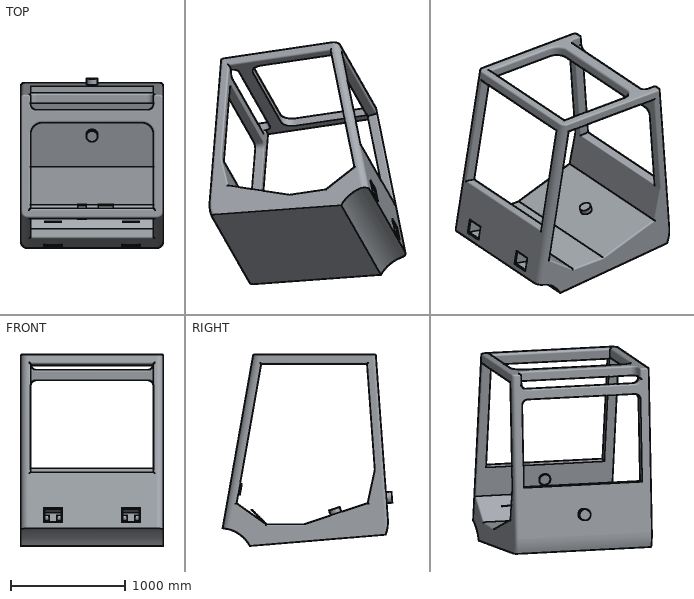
import cadquery as cq
import math


WIDTH = 1250.0
HEIGHT = 1681.14
LENGTH = 1490.56
WALL = 85.0
SIDE_WALL = 87.0
FRONT_LEAN = 10.0
REAR_LEAN = 4.2
ROOF_LENGTH = 1076.0

FRONT_EDGE_Z = 156.0
FRONT_FOOT_DEPTH = 62.0
ARCH_RADIUS = 300.0
ARCH_END_Y = 240.0
HULL_REAR_Y = 1431.0
HULL_REAR_Z = 99.0
REAR_KNEE_Z = 235.0

FLOOR_Z = 192.0
FLOOR_FRONT_Y = 383.0
FLOOR_REAR_Y = 714.0
RAMP_TOP_Z = 375.0
SEAT_BACK_Y = 1272.0
SEAT_BACK_Z = 378.0
REAR_SILL_BEND_Z = 668.0

FRONT_POST_RADIUS = 60.0
REAR_POST_RADIUS = 30.0
EDGE_RADIUS = 15.0
ROOF_HATCH_EDGE_RADIUS = 20.0
HATCH_CORNER_RADIUS = 100.0
REAR_WINDOW_EDGE_RADIUS = 7.0
REAR_CORNER_RADIUS = 50.0

FRONT_WINDOW_BOTTOM = 503.0
FRONT_WINDOW_TOP = 1464.0
REAR_WINDOW_BOTTOM_Z = 677.0
HEADER_BOTTOM_Z = 1452.0
HEADER_TOP_Z = 1548.0
HATCH_REAR_Y = 1100.0
ROOF_NOTCH_Y = 1214.0

POCKET_X = 341.5
POCKET_WIDTH = 143.0
POCKET_BOTTOM = 60.0
POCKET_TOP = 173.0
POCKET_DEPTH = 200.0
POCKET_BEVEL = 8.0
BEVEL_ANGLE = 45.0
CASING_WALL = 8.5
LUG_DIAMETER = 50.0
LUG_GAP = 67.0
LUG_INSET = 20.0
LUG_HEIGHT = 124.0

BOSS_DIAMETER = 100.0
BOSS_ROOT = 40.0
REAR_BOSS_Z = 425.0
FLOOR_BOSS_Y = 995.0
FLOOR_BOSS_HEIGHT = 45.0
FRONT_BOSS_Z = 500.0
FRONT_BOSS_HEIGHT = 15.0
PEDAL_THICKNESS = 4.0
PEDAL_RISE = 45.0
PEDALS = ((-124.0, -52.0, 180.0), (53.0, 188.0, 90.0))

HALF_WIDTH = WIDTH / 2
OPENING_HALF = HALF_WIDTH - SIDE_WALL
OVERCUT = 50.0
TOLERANCE = 0.5
FRONT_SIN = math.sin(math.radians(FRONT_LEAN))
FRONT_COS = math.cos(math.radians(FRONT_LEAN))
REAR_SIN = math.sin(math.radians(REAR_LEAN))
REAR_COS = math.cos(math.radians(REAR_LEAN))
ROOF_UNDERSIDE_Z = HEIGHT - WALL
ROOF_FRONT_Y = (HEIGHT - FRONT_EDGE_Z) * FRONT_SIN / FRONT_COS
ROOF_REAR_Y = ROOF_FRONT_Y + ROOF_LENGTH


def front_y(z, inset=0.0):
    """Y of the front face at height z, or of a plane set inside it."""
    return (z - FRONT_EDGE_Z) * FRONT_SIN / FRONT_COS + inset / FRONT_COS


def rear_y(z, inset=0.0):
    """Y of the rear face at height z, or of a plane set inside it."""
    return ROOF_REAR_Y + (HEIGHT - z) * REAR_SIN / REAR_COS - inset / REAR_COS


FRONT_PLANE = cq.Plane((0, 0, FRONT_EDGE_Z), (1, 0, 0), (0, -FRONT_COS, FRONT_SIN))


def rear_plane(z, inset=0.0):
    """Plane on the rear face with its local Y up and its normal outward."""
    return cq.Plane((0, rear_y(z, inset), z), (-1, 0, 0), (0, REAR_COS, REAR_SIN))


def across(x_left, x_right, profile):
    """Solid with a closed (Y, Z) profile running from x_left to x_right."""
    plane = cq.Plane((x_left, 0, 0), (0, 1, 0), (1, 0, 0))
    return cq.Workplane(plane).polyline(profile).close().extrude(x_right - x_left)


def nearest_edges(body, points):
    """The edges whose centers are nearest to the given points."""
    return [body.edges(cq.selectors.NearestToPointSelector(point)).val() for point in points]


def fillet(body, radius, edges):
    return cq.Workplane(body.val().fillet(radius, edges))


def round_rim(body, point, radius):
    """Round the rim of the single opening in the flat face that holds a point."""
    vertex = cq.Vertex.makeVertex(*point)
    face = min(body.faces().vals(), key=lambda candidate: candidate.distance(vertex))
    return fillet(body, radius, face.innerWires()[0].Edges())


def make_hull():
    foot_y = FRONT_FOOT_DEPTH * FRONT_COS
    foot_z = FRONT_EDGE_Z - FRONT_FOOT_DEPTH * FRONT_SIN
    body = (
        cq.Workplane(cq.Plane((-HALF_WIDTH, 0, 0), (0, 1, 0), (1, 0, 0)))
        .moveTo(0, FRONT_EDGE_Z)
        .lineTo(ROOF_FRONT_Y, HEIGHT)
        .lineTo(ROOF_REAR_Y, HEIGHT)
        .lineTo(rear_y(REAR_KNEE_Z), REAR_KNEE_Z)
        .tangentArcPoint((HULL_REAR_Y, HULL_REAR_Z), relative=False)
        .lineTo(ARCH_END_Y, 0)
        .radiusArc((foot_y, foot_z), -ARCH_RADIUS)
        .close()
        .extrude(WIDTH)
    )
    front_z = (HEIGHT + FRONT_EDGE_Z) / 2
    rear_z = (HEIGHT + REAR_KNEE_Z) / 2
    front_edges = [(x, front_y(front_z), front_z) for x in (-HALF_WIDTH, HALF_WIDTH)]
    rear_edges = [(x, rear_y(rear_z), rear_z) for x in (-HALF_WIDTH, HALF_WIDTH)]
    body = fillet(body, FRONT_POST_RADIUS, nearest_edges(body, front_edges))
    body = fillet(body, REAR_POST_RADIUS, nearest_edges(body, rear_edges))
    return body.faces(">Z").edges().fillet(EDGE_RADIUS)


def cut_cavity(body):
    """Open the cab from side to side and round the rim of each door opening."""
    body = body.cut(across(-HALF_WIDTH, HALF_WIDTH, [
        (front_y(RAMP_TOP_Z, WALL), RAMP_TOP_Z),
        (FLOOR_FRONT_Y, FLOOR_Z),
        (FLOOR_REAR_Y, FLOOR_Z),
        (SEAT_BACK_Y, SEAT_BACK_Z),
        (rear_y(REAR_SILL_BEND_Z, WALL), REAR_SILL_BEND_Z),
        (rear_y(ROOF_UNDERSIDE_Z, WALL), ROOF_UNDERSIDE_Z),
        (front_y(ROOF_UNDERSIDE_Z, WALL), ROOF_UNDERSIDE_Z),
    ]))
    for x in (-HALF_WIDTH, HALF_WIDTH):
        body = round_rim(body, (x, FLOOR_REAR_Y, FLOOR_Z / 2), EDGE_RADIUS)
    return body


def cut_front_window(body):
    window = (
        cq.Workplane(FRONT_PLANE)
        .center(0, (FRONT_WINDOW_BOTTOM + FRONT_WINDOW_TOP) / 2)
        .rect(2 * OPENING_HALF, FRONT_WINDOW_TOP - FRONT_WINDOW_BOTTOM)
        .extrude(-WALL - OVERCUT)
    )
    panel_z = (FRONT_EDGE_Z + RAMP_TOP_Z) / 2
    return round_rim(body.cut(window), (0, front_y(panel_z), panel_z), EDGE_RADIUS)


def cut_rear_window(body):
    """Cut the rear window, rounded at its inner rim, with two round upper corners."""
    height = (HEADER_BOTTOM_Z - REAR_WINDOW_BOTTOM_Z) / REAR_COS
    window = (
        cq.Workplane(rear_plane(REAR_WINDOW_BOTTOM_Z, WALL))
        .center(0, height / 2)
        .rect(2 * OPENING_HALF, height)
        .extrude(2 * (WALL + OVERCUT), both=True)
    )
    window = fillet(window, REAR_CORNER_RADIUS, window.faces(">Z").edges("not |X").vals())
    header_z = (HEADER_BOTTOM_Z + HEADER_TOP_Z) / 2
    return round_rim(body.cut(window), (0, rear_y(header_z, WALL), header_z), REAR_WINDOW_EDGE_RADIUS)


def cut_roof_hatch(body):
    """Cut the roof hatch; its front side lies in the inner plane of the front wall."""
    bottom_z = ROOF_UNDERSIDE_Z - OVERCUT
    hatch = across(-OPENING_HALF, OPENING_HALF, [
        (front_y(bottom_z, WALL), bottom_z),
        (front_y(HEIGHT, WALL), HEIGHT),
        (HATCH_REAR_Y, HEIGHT),
        (HATCH_REAR_Y, bottom_z),
    ])
    hatch = hatch.edges("|Z").fillet(HATCH_CORNER_RADIUS)
    roof_bar = (0, (HATCH_REAR_Y + ROOF_NOTCH_Y) / 2, HEIGHT)
    return round_rim(body.cut(hatch), roof_bar, ROOF_HATCH_EDGE_RADIUS)


def rear_distance(point, inset):
    """Distance of a point outside the rear face, or outside a plane set inside it."""
    return (point.y - rear_y(point.z, inset)) * REAR_COS


def is_notch_edge(edge):
    center = edge.Center()
    inner_bar_top_z = HEADER_TOP_Z - WALL * REAR_SIN
    in_width = abs(center.x) < OPENING_HALF + TOLERANCE
    behind_hatch = center.y > ROOF_NOTCH_Y - TOLERANCE
    return in_width and behind_hatch and center.z > inner_bar_top_z - TOLERANCE


def is_outside(edge):
    """True for an edge on the roof, on the rear face or on the round between them."""
    for point in (edge.startPoint(), edge.Center(), edge.endPoint()):
        on_roof = point.z > HEIGHT - TOLERANCE
        near_rear = rear_distance(point, 0) > -EDGE_RADIUS and point.z > HEADER_TOP_Z - TOLERANCE
        if not (on_roof or near_rear):
            return False
    return True


def is_on_inner_rear(edge):
    points = (edge.startPoint(), edge.endPoint())
    return all(abs(rear_distance(point, WALL)) < TOLERANCE for point in points)


def cut_rear_notch(body):
    """Open the corner between the roof and the rear face above the header bar."""
    roof_part = (
        cq.Workplane("XY", origin=(0, rear_y(ROOF_UNDERSIDE_Z) + OVERCUT, ROOF_UNDERSIDE_Z))
        .rect(2 * OPENING_HALF, 2 * (rear_y(ROOF_UNDERSIDE_Z) - ROOF_NOTCH_Y + OVERCUT))
        .extrude(WALL)
        .edges("|Z and <Y")
        .fillet(REAR_CORNER_RADIUS)
    )
    rear_part = (
        cq.Workplane(rear_plane(HEADER_TOP_Z))
        .center(0, HEIGHT - HEADER_TOP_Z)
        .rect(2 * OPENING_HALF, 2 * (HEIGHT - HEADER_TOP_Z))
        .extrude(WALL + OVERCUT, both=True)
    )
    rear_part = fillet(rear_part, REAR_CORNER_RADIUS, nearest_edges(rear_part, [
        (x, rear_y(HEADER_TOP_Z), HEADER_TOP_Z) for x in (-OPENING_HALF, OPENING_HALF)
    ]))
    below_roof = cq.Workplane("XY").box(WIDTH, 2 * LENGTH, ROOF_UNDERSIDE_Z, (True, True, False))
    body = body.cut(roof_part).cut(rear_part.intersect(below_roof))
    for is_on_rim in (is_outside, is_on_inner_rear):
        edges = body.edges().vals()
        rim = [edge for edge in edges if is_notch_edge(edge) and is_on_rim(edge)]
        body = fillet(body, EDGE_RADIUS, rim)
    return body


def pocket_block(center_x, top, depth):
    """Block behind the front face, as wide as a lamp pocket."""
    block = cq.Workplane(FRONT_PLANE).center(center_x, (POCKET_BOTTOM + top) / 2)
    return block.rect(POCKET_WIDTH, top - POCKET_BOTTOM).extrude(-depth)


def add_lamp_pocket(body, center_x):
    """Cut a bevelled lamp pocket, with a casing behind it and two round lugs inside."""
    casing = pocket_block(center_x, POCKET_TOP + CASING_WALL, POCKET_DEPTH + CASING_WALL)
    pocket = pocket_block(center_x, POCKET_TOP, POCKET_DEPTH)
    mouth = (
        cq.Workplane(FRONT_PLANE)
        .center(center_x, (POCKET_BOTTOM + POCKET_TOP) / 2)
        .rect(POCKET_WIDTH + 2 * POCKET_BEVEL, POCKET_TOP - POCKET_BOTTOM + 2 * POCKET_BEVEL)
        .extrude(-POCKET_BEVEL, taper=BEVEL_ANGLE)
    )
    lug_center = FRONT_PLANE.toWorldCoords((0, LUG_HEIGHT, LUG_INSET - POCKET_DEPTH))
    lug_plane = cq.Plane((center_x, lug_center.y, lug_center.z), (0, 1, 0), (1, 0, 0))
    lugs = cq.Workplane(lug_plane).circle(LUG_DIAMETER / 2).extrude(POCKET_WIDTH / 2, both=True)
    gap = cq.Workplane(lug_plane).circle(LUG_DIAMETER).extrude(LUG_GAP / 2, both=True)
    return body.union(casing).cut(pocket.cut(lugs.cut(gap))).cut(mouth)


def make_boss(center, axis, height):
    """Round boss standing on a face and rooted below it."""
    plane = cq.Plane(center, (1, 0, 0), axis)
    base = cq.Workplane(plane).workplane(offset=-BOSS_ROOT)
    return base.circle(BOSS_DIAMETER / 2).extrude(BOSS_ROOT + height)


def add_bosses(body):
    rear_length = (LENGTH - rear_y(REAR_BOSS_Z) - BOSS_DIAMETER / 2 * REAR_SIN) / REAR_COS
    rear_boss = make_boss(
        (0, rear_y(REAR_BOSS_Z), REAR_BOSS_Z), (0, REAR_COS, REAR_SIN), rear_length
    )
    floor_slope = (SEAT_BACK_Z - FLOOR_Z) / (SEAT_BACK_Y - FLOOR_REAR_Y)
    floor_boss_z = FLOOR_Z + (FLOOR_BOSS_Y - FLOOR_REAR_Y) * floor_slope
    floor_boss = make_boss(
        (0, FLOOR_BOSS_Y, floor_boss_z), (0, -floor_slope, 1), FLOOR_BOSS_HEIGHT
    )
    front_boss = make_boss(
        (0, front_y(FRONT_BOSS_Z, WALL), FRONT_BOSS_Z), (0, FRONT_COS, -FRONT_SIN), FRONT_BOSS_HEIGHT
    )
    return body.union(rear_boss).union(floor_boss).union(front_boss)


def add_pedals(body):
    """Thin flat pedals rising forward from the front edge of the floor."""
    for left_x, right_x, length in PEDALS:
        pedal = (
            cq.Workplane("XY")
            .box(right_x - left_x, length + PEDAL_THICKNESS, PEDAL_THICKNESS, centered=False)
            .translate((left_x, -length, -PEDAL_THICKNESS / 2))
            .rotate((0, 0, 0), (1, 0, 0), -PEDAL_RISE)
            .translate((0, FLOOR_FRONT_Y, FLOOR_Z))
        )
        body = body.union(pedal)
    return body


cab = make_hull()
cab = cut_cavity(cab)
cab = cut_front_window(cab)
cab = cut_rear_window(cab)
cab = cut_roof_hatch(cab)
cab = cut_rear_notch(cab)
for pocket_x in (-POCKET_X, POCKET_X):
    cab = add_lamp_pocket(cab, pocket_x)
cab = add_bosses(cab)
cab = add_pedals(cab)
result = cab